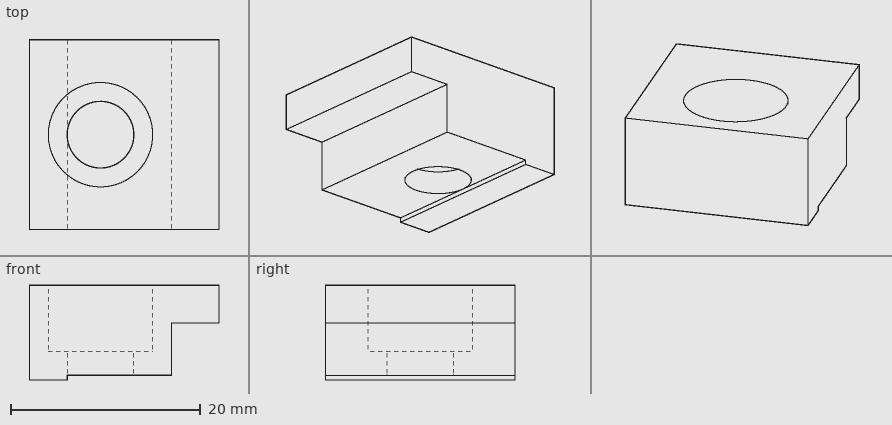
import cadquery as cq

length = 20.0
width = 20.0
height = 10.0

body_length = 15.0
flange_thickness = 4.0
foot_length = 4.0
foot_height = 0.5

hole_x = 7.5
hole_diameter = 7.0
counterbore_diameter = 11.0
counterbore_depth = 7.0

profile = [
    (0, 0),
    (foot_length, 0),
    (foot_length, foot_height),
    (body_length, foot_height),
    (body_length, height - flange_thickness),
    (length, height - flange_thickness),
    (length, height),
    (0, height),
]
body = cq.Workplane("XZ").polyline(profile).close().extrude(-width)

result = (
    body.faces(">Z")
    .workplane(origin=(hole_x, width / 2, height))
    .cboreHole(hole_diameter, counterbore_diameter, counterbore_depth)
)